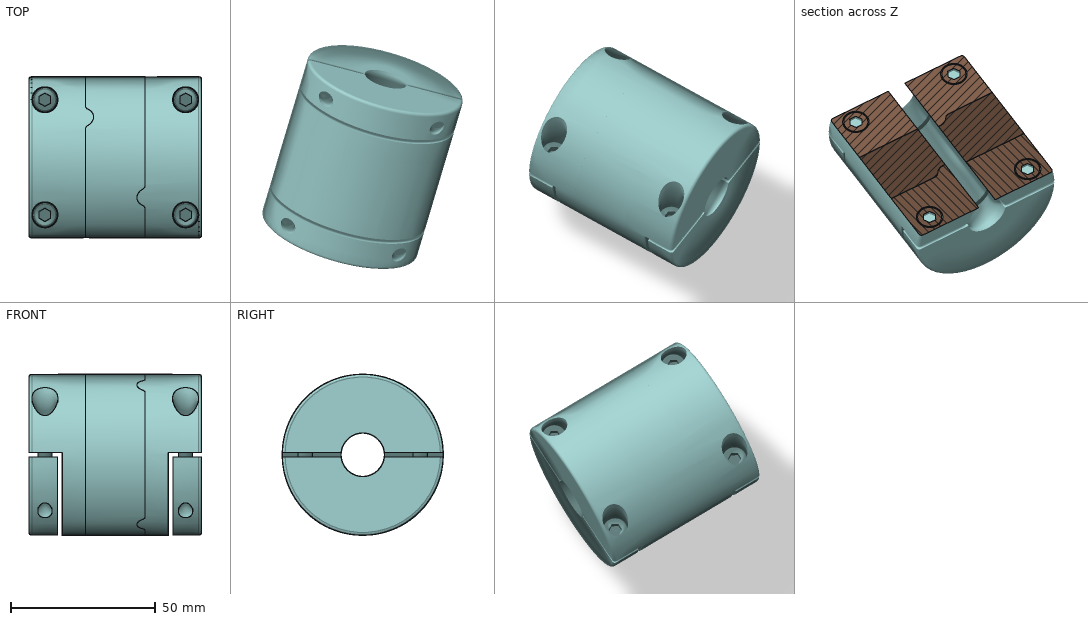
import cadquery as cq
import math

length = 60.0
outer_diameter = 56.0
outer_radius = outer_diameter / 2
bore_diameter = 15.0
rim_round = 1.0
spacer_length = 20.8
hub_length = (length - spacer_length) / 2

clamp_width = 10.0
slit_gap = 1.5

screw_inset = 5.6
screw_offset = 20.0
counterbore_diameter = 9.0
head_diameter = 8.5
head_height = 5.0
head_round = 0.5
shank_diameter = 5.0
socket_flats = 4.0
socket_depth = head_height / 2
seat_height = 3.0
shank_length = 16.0

tooth_angles = (30.0, 150.0)
crown_radius = 3.6
crown_centre_depth = 0.7
root_half_width = 4.9

end_face = -length / 2
joint_face = -spacer_length / 2
screw_x = end_face + screw_inset
shank_tip = seat_height - shank_length
screw_places = [(screw_x, -screw_offset), (screw_x, screw_offset)]


def disc(start, thickness, diameter):
    """Solid disc along X whose first face is at x = start."""
    return cq.Workplane("YZ").workplane(offset=start).circle(diameter / 2).extrude(thickness)


def screw_holes(bottom, height, diameter):
    """A pair of vertical cylinders on the screw axes, each from z = bottom upwards."""
    return (
        cq.Workplane("XY").workplane(offset=bottom)
        .pushPoints(screw_places).circle(diameter / 2).extrude(height)
    )


def tooth(angle):
    """Radial tooth on the joint face, turned by angle about X from the +Z direction."""
    root_radius = (
        (root_half_width**2 + crown_centre_depth**2 - crown_radius**2)
        / (2 * (crown_radius - crown_centre_depth))
    )
    crown_centre = joint_face - crown_centre_depth
    root_centre = joint_face + root_radius
    slope = math.atan2(root_radius + crown_centre_depth, root_half_width)
    blend_x = crown_centre + crown_radius * math.sin(slope)
    blend_y = crown_radius * math.cos(slope)
    middle = (slope + math.pi / 2) / 2
    middle_x = root_centre - root_radius * math.sin(middle)
    middle_y = root_half_width - root_radius * math.cos(middle)
    profile = (
        cq.Workplane("XY")
        .moveTo(joint_face, -root_half_width)
        .threePointArc((middle_x, -middle_y), (blend_x, -blend_y))
        .threePointArc((crown_centre + crown_radius, 0), (blend_x, blend_y))
        .threePointArc((middle_x, middle_y), (joint_face, root_half_width))
        .lineTo(crown_centre, root_half_width)
        .lineTo(crown_centre, -root_half_width)
        .close()
    )
    return profile.extrude(outer_diameter).rotate((0, 0, 0), (-1, 0, 0), angle)


def teeth():
    """Both teeth of a hub, trimmed to the outer cylinder and the bore."""
    pair = tooth(tooth_angles[0]).union(tooth(tooth_angles[1]))
    sleeve = disc(end_face, length, outer_diameter).cut(disc(end_face, length, bore_diameter))
    return pair.intersect(sleeve)


def clamp_slits():
    """Level slit from the end face, meeting an upright slit that runs down through the hub."""
    level = (
        cq.Workplane("XY")
        .box(clamp_width + slit_gap, outer_diameter, slit_gap, centered=(False, True, True))
    )
    upright = (
        cq.Workplane("XY")
        .box(slit_gap, outer_diameter, outer_diameter, centered=(False, True, False))
        .translate((clamp_width, 0, slit_gap / 2 - outer_diameter))
    )
    return level.union(upright).translate((end_face, 0, 0))


def clamp_screw():
    """Socket head screw upright on the Z axis, the socket's corners toward +Y and -Y."""
    head = (
        cq.Workplane("XY").workplane(offset=seat_height)
        .circle(head_diameter / 2).extrude(head_height)
        .faces(">Z").edges().fillet(head_round)
    )
    corner_diameter = socket_flats / math.cos(math.pi / 6)
    socket = (
        cq.Workplane("XY").workplane(offset=seat_height + head_height)
        .polygon(6, corner_diameter).extrude(-socket_depth)
        .rotate((0, 0, 0), (0, 0, 1), 90)
    )
    shank = cq.Workplane("XY").workplane(offset=shank_tip).circle(shank_diameter / 2).extrude(shank_length)
    return head.union(shank).cut(socket)


def make_hub():
    """Hub at the -X end, one solid with its clamp half and screws."""
    hub = disc(end_face, hub_length, outer_diameter).faces("<X").edges().fillet(rim_round)
    hub = hub.cut(disc(end_face, hub_length, bore_diameter)).union(teeth())
    hub = hub.cut(clamp_slits())
    hub = hub.cut(screw_holes(seat_height, outer_radius, counterbore_diameter))
    hub = hub.cut(screw_holes(shank_tip - outer_radius, outer_radius, shank_diameter))
    for x, y in screw_places:
        hub = hub.union(clamp_screw().translate((x, y, 0)))
    return hub


def half_turn(body):
    """The body turned 180 degrees about Z, to the other end of the coupling."""
    return body.rotate((0, 0, 0), (0, 0, 1), 180)


def make_spacer():
    """Plain ring between the hubs, recessed for the teeth of both."""
    ring = disc(joint_face, spacer_length, outer_diameter)
    ring = ring.cut(disc(joint_face, spacer_length, bore_diameter))
    return ring.cut(teeth()).cut(half_turn(teeth()))


left_hub = make_hub()
hubs = [left_hub, half_turn(left_hub)]
spacer = make_spacer()

result = cq.Compound.makeCompound([*[hub.val() for hub in hubs], spacer.val()])